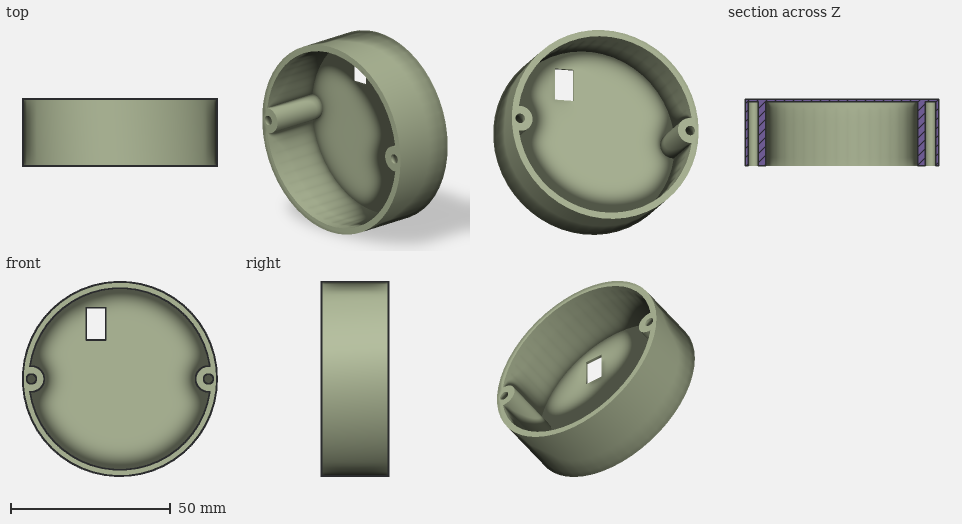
import cadquery as cq

outer_radius = 30.4
depth = 21.0
wall = 2.0
floor = 1.0
inner_radius = outer_radius - wall

post_radius = 4.0
post_offset = 27.65
screw_hole_radius = 1.5
screw_hole_depth = depth - floor

window_width = 6.0
window_height = 10.05
window_center_x = -7.5
window_center_z = 17.2


def rim_plane():
    """Sketch plane on the open rim; extruding by a negative length goes toward the floor."""
    return cq.Workplane("XZ")


def screw_post(side):
    """Round post with a straight-sided web that runs out into the wall."""
    center_x = side * post_offset
    web_length = outer_radius - post_offset
    post = rim_plane().center(center_x, 0).circle(post_radius).extrude(-depth)
    web = (
        rim_plane()
        .center(center_x + side * web_length / 2, 0)
        .rect(web_length, 2 * post_radius)
        .extrude(-depth)
    )
    return post.union(web)


def screw_hole(side):
    """Blind hole from the rim down to the floor."""
    return rim_plane().center(side * post_offset, 0).circle(screw_hole_radius).extrude(-screw_hole_depth)


envelope = rim_plane().circle(outer_radius).extrude(-depth)
cavity = rim_plane().circle(inner_radius).extrude(-(depth - floor))
result = envelope.cut(cavity)

for side in (-1, 1):
    result = result.union(screw_post(side).intersect(envelope))
    result = result.cut(screw_hole(side))

window = (
    rim_plane()
    .center(window_center_x, window_center_z)
    .rect(window_width, window_height)
    .extrude(-depth)
)
result = result.cut(window)